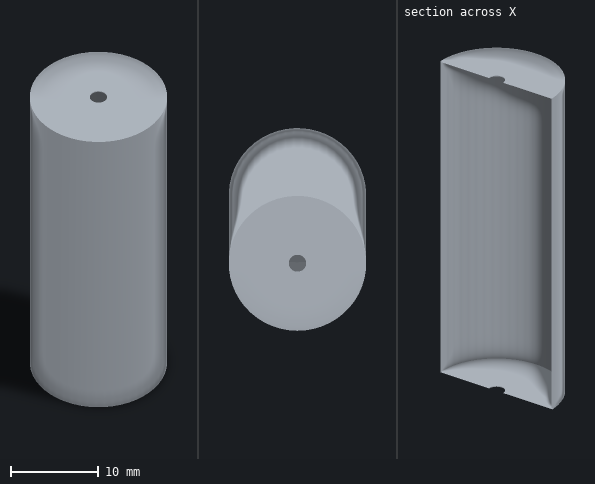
import cadquery as cq

outer_diameter = 15.8
length = 40.4
wall_thickness = 0.1
end_hole_diameter = 2.0

cavity_diameter = outer_diameter - 2 * wall_thickness
cavity_length = length - 2 * wall_thickness


def centred_cylinder(diameter, height):
    """Cylinder along Z, centred on the origin."""
    return cq.Workplane("XY").cylinder(height, diameter / 2)


def make_shell():
    """Thin-walled can, closed at both ends."""
    body = centred_cylinder(outer_diameter, length)
    cavity = centred_cylinder(cavity_diameter, cavity_length)
    return body.cut(cavity)


def pierce_ends(shell):
    """Central hole through both end walls, on the cylinder axis."""
    return shell.cut(centred_cylinder(end_hole_diameter, length))


result = pierce_ends(make_shell())